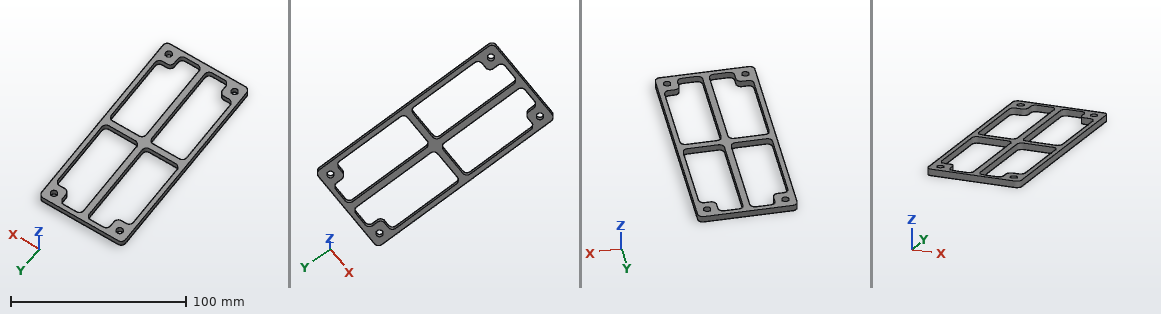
import cadquery as cq

WIDTH = 57.9
LENGTH = 128.4
THICKNESS = 4.0
CORNER_RADIUS = 3.0

RIM_WIDTH = 3.0
RIB_WIDTH = 4.0
WINDOW_RADIUS = 3.0

PAD_SIZE = 12.4
HOLE_DIAMETER = 4.1
HOLE_INSET = PAD_SIZE / 2


def make_plate():
    """Solid plate with rounded vertical corners, resting on Z = 0."""
    plate = cq.Workplane("XY").rect(WIDTH, LENGTH).extrude(THICKNESS)
    return plate.edges("|Z").fillet(CORNER_RADIUS)


def make_window():
    """Opening of the +X +Y quarter, notched around its corner pad."""
    rib_edge = RIB_WIDTH / 2
    rim_x = WIDTH / 2 - RIM_WIDTH
    rim_y = LENGTH / 2 - RIM_WIDTH
    pad_x = WIDTH / 2 - PAD_SIZE
    pad_y = LENGTH / 2 - PAD_SIZE
    outline = [
        (rib_edge, rib_edge),
        (rim_x, rib_edge),
        (rim_x, pad_y),
        (pad_x, pad_y),
        (pad_x, rim_y),
        (rib_edge, rim_y),
    ]
    window = cq.Workplane("XY").polyline(outline).close().extrude(THICKNESS)
    return window.edges("|Z").fillet(WINDOW_RADIUS)


def cut_windows(plate):
    """Cut one window per quarter, mirrored about both centre planes."""
    window = make_window()
    window_pair = [window, window.mirror("YZ")]
    for opening in window_pair:
        plate = plate.cut(opening).cut(opening.mirror("XZ"))
    return plate


def drill_corner_holes(plate):
    """Drill a through hole in the middle of each corner pad."""
    hole_spacing_x = WIDTH - 2 * HOLE_INSET
    hole_spacing_y = LENGTH - 2 * HOLE_INSET
    return (
        plate.faces(">Z")
        .workplane(origin=(0, 0, THICKNESS))
        .rect(hole_spacing_x, hole_spacing_y, forConstruction=True)
        .vertices()
        .hole(HOLE_DIAMETER)
    )


result = drill_corner_holes(cut_windows(make_plate()))